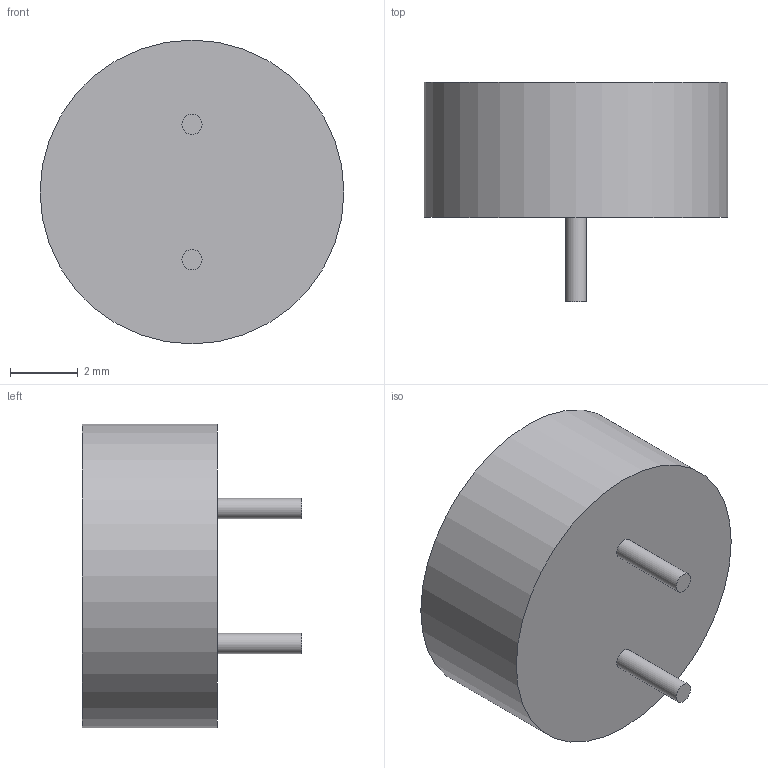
import cadquery as cq

body_diameter = 9.0
body_thickness = 4.0

pin_diameter = 0.6
pin_length = 2.5
pin_spacing = 4.0


def make_body():
    """Plain disc reaching from its pin face at Y = 0 to +Y."""
    return cq.Workplane("XZ").circle(body_diameter / 2).extrude(-body_thickness)


def make_pins():
    """Pair of pins, spaced along Z about the body axis, pointing to -Y."""
    pin_centres = [(0, -pin_spacing / 2), (0, pin_spacing / 2)]
    return cq.Workplane("XZ").pushPoints(pin_centres).circle(pin_diameter / 2).extrude(pin_length)


result = make_body().union(make_pins())